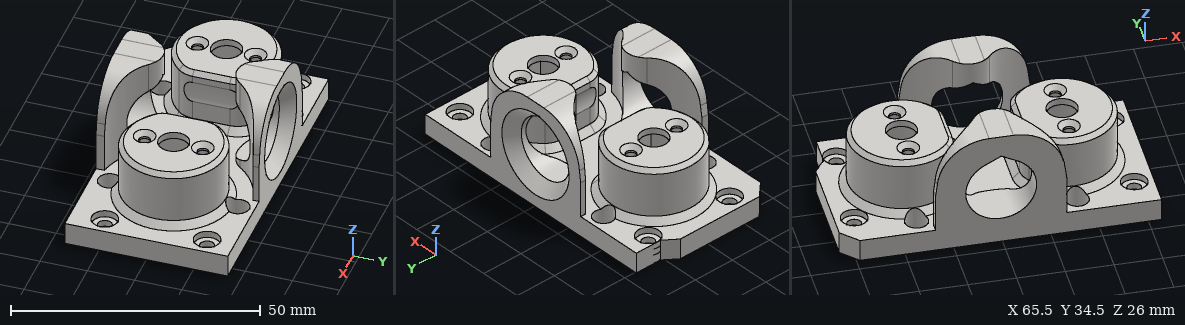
import cadquery as cq
import math

plate_height = 5.0
plate_left, plate_right = -32.5, 33.0
plate_front, plate_back = -17.5, 17.0
corner_chamfer = 3.5
notch_depth = 2.35
notch_slope_start = 7.3
notch_slope_end = 10.5

boss_offset = 16.5
boss_radius = 11.1
boss_flat = 9.6
boss_blend_radius = 5.0
boss_top = 17.9
boss_chamfer = 1.0
foot_flare = 1.5

cavity_roof = 1.5
cavity_radius = 9.5
cavity_flat = 7.4
center_bore_diameter = 6.4
screw_offset = 6.15
screw_diameter = 2.4
countersink_diameter = 4.5
relief_offset = 13.55
relief_diameter = 4.85

mount_points = [(-27.3, 11.25), (-28.4, -9.7), (28.95, 11.25), (28.95, -10.35)]
mount_diameter = 3.0
counterbore_diameter = 5.5
counterbore_depth = 1.5
underside_counterbore_depth = 2.0

arch_height = 26.0
arch_half_width = 13.5
arch_side_top = 13.4
arch_flat_half_width = 2.5
arch_corner_radius = 10.7
arch_arc_end = 16.2
arch_clearance_radius = 16.0
arch_tip_reach = 7.8

bore_radius = 7.3
bore_height = 13.05
bore_peak = 21.2
back_countersink_radius = 10.0


def make_plate():
    left_step = plate_left + notch_depth
    outline = [
        (plate_left + corner_chamfer, plate_front),
        (plate_right, plate_front),
        (plate_right, plate_back),
        (left_step, plate_back),
        (left_step, notch_slope_end),
        (plate_left, notch_slope_start),
        (plate_left, plate_front + corner_chamfer),
    ]
    return cq.Workplane("XY").polyline(outline).close().extrude(plate_height)


def boss_prism(growth, height):
    """Flattened cylinder about the Z axis with its flat on +X, grown outwards by growth."""
    radius = boss_radius + growth
    flat = boss_flat + growth
    blend = boss_blend_radius + growth
    blend_x = flat - blend
    blend_y = math.sqrt((radius - blend) ** 2 - blend_x ** 2)
    turn = math.atan2(blend_y, blend_x)
    tangent = (radius * math.cos(turn), radius * math.sin(turn))
    middle = (blend_x + blend * math.cos(turn / 2), blend_y + blend * math.sin(turn / 2))
    return (
        cq.Workplane("XY")
        .moveTo(flat, -blend_y)
        .lineTo(flat, blend_y)
        .threePointArc(middle, tangent)
        .threePointArc((-radius, 0), (tangent[0], -tangent[1]))
        .threePointArc((middle[0], -middle[1]), (flat, -blend_y))
        .close()
        .extrude(height)
    )


def make_boss():
    body = boss_prism(0, boss_top).faces(">Z").chamfer(boss_chamfer)
    foot = boss_prism(foot_flare, plate_height + foot_flare)
    foot = foot.faces(">Z").chamfer(foot_flare)
    return body.union(foot)


def make_boss_cuts():
    cavity_height = boss_top - cavity_roof
    flats = cq.Workplane("XY").rect(2 * cavity_flat, 2 * cavity_radius).extrude(cavity_height)
    cuts = cq.Workplane("XY").circle(cavity_radius).extrude(cavity_height).intersect(flats)
    cuts = cuts.union(cq.Workplane("XY").circle(center_bore_diameter / 2).extrude(boss_top))
    countersink_depth = (countersink_diameter - screw_diameter) / 2
    for side in (-1, 1):
        screw = (
            cq.Workplane("XY", origin=(0, side * screw_offset, boss_top))
            .circle(screw_diameter / 2).extrude(-boss_top)
        )
        cone = cq.Workplane(cq.Solid.makeCone(
            countersink_diameter / 2, screw_diameter / 2, countersink_depth,
            pnt=cq.Vector(0, side * screw_offset, boss_top), dir=cq.Vector(0, 0, -1)))
        relief = (
            cq.Workplane("XY", origin=(0, side * relief_offset, 0))
            .circle(relief_diameter / 2).extrude(boss_top)
        )
        cuts = cuts.union(screw).union(cone).union(relief)
    return cuts


def make_arch_wall():
    """Arch outline extruded over the full plate width."""
    center_z = arch_height - arch_corner_radius
    rise = arch_arc_end - center_z
    arc_end_x = arch_flat_half_width + math.sqrt(arch_corner_radius ** 2 - rise ** 2)
    diagonal = arch_corner_radius * math.sqrt(0.5)
    middle = (arch_flat_half_width + diagonal, center_z + diagonal)
    return (
        cq.Workplane("XZ", origin=(0, plate_back, 0))
        .moveTo(-arch_half_width, 0)
        .lineTo(arch_half_width, 0)
        .lineTo(arch_half_width, arch_side_top)
        .lineTo(arc_end_x, arch_arc_end)
        .threePointArc(middle, (arch_flat_half_width, arch_height))
        .lineTo(-arch_flat_half_width, arch_height)
        .threePointArc((-middle[0], middle[1]), (-arc_end_x, arch_arc_end))
        .lineTo(-arch_half_width, arch_side_top)
        .close()
        .extrude(plate_back - plate_front)
    )


def make_arch_footprint(side):
    """Plan shape of one arch: hollowed around both bosses, with a rounded tip between them."""
    reach, clear = arch_tip_reach, arch_clearance_radius
    tip_radius = (boss_offset ** 2 + reach ** 2 - clear ** 2) / (2 * (clear - reach))
    tip_center_y = reach + tip_radius
    share = clear / (clear + tip_radius)
    tangent_x = boss_offset * (1 - share)
    tangent_y = tip_center_y * share
    outer_y = plate_back if side > 0 else -plate_front
    edge_y = math.sqrt(clear ** 2 - (boss_offset - arch_half_width) ** 2)
    start = math.atan2(edge_y, arch_half_width - boss_offset)
    end = math.atan2(tangent_y, tangent_x - boss_offset)
    half = (start + end) / 2
    middle = (boss_offset + clear * math.cos(half), clear * math.sin(half))
    return (
        cq.Workplane("XY")
        .moveTo(-arch_half_width, side * outer_y)
        .lineTo(-arch_half_width, side * edge_y)
        .threePointArc((-middle[0], side * middle[1]), (-tangent_x, side * tangent_y))
        .threePointArc((0, side * reach), (tangent_x, side * tangent_y))
        .threePointArc((middle[0], side * middle[1]), (arch_half_width, side * edge_y))
        .lineTo(arch_half_width, side * outer_y)
        .close()
        .extrude(arch_height)
    )


def make_teardrop_bore():
    spread = math.acos(bore_radius / (bore_peak - bore_height))
    tangent_x = bore_radius * math.sin(spread)
    tangent_z = bore_height + bore_radius * math.cos(spread)
    return (
        cq.Workplane("XZ", origin=(0, plate_back, 0))
        .moveTo(tangent_x, tangent_z)
        .lineTo(0, bore_peak)
        .lineTo(-tangent_x, tangent_z)
        .threePointArc((0, bore_height - bore_radius), (tangent_x, tangent_z))
        .close()
        .extrude(plate_back - plate_front)
    )


def make_back_countersink():
    """45 degree cone opening the bore towards the back face."""
    depth = back_countersink_radius - bore_radius
    return cq.Workplane(cq.Solid.makeCone(
        back_countersink_radius, bore_radius, depth,
        pnt=cq.Vector(0, plate_back, bore_height), dir=cq.Vector(0, -1, 0)))


def make_mount_holes():
    def pins(diameter, bottom, top):
        plan = cq.Workplane("XY", origin=(0, 0, bottom)).pushPoints(mount_points)
        return plan.circle(diameter / 2).extrude(top - bottom)

    through = pins(mount_diameter, 0, plate_height)
    lower = pins(counterbore_diameter, 0, underside_counterbore_depth)
    upper = pins(counterbore_diameter, plate_height - counterbore_depth, plate_height)
    return through.union(lower).union(upper)


def place_at_both_bosses(shape):
    """Copy a shape to each boss, with the +X side of the shape facing the middle."""
    left = shape.translate((-boss_offset, 0, 0))
    return left.union(left.mirror("YZ"))


arch_plan = make_arch_footprint(-1).union(make_arch_footprint(1))
arches = make_arch_wall().intersect(arch_plan)

result = (
    make_plate()
    .union(place_at_both_bosses(make_boss()))
    .union(arches)
    .cut(place_at_both_bosses(make_boss_cuts()))
    .cut(make_mount_holes())
    .cut(make_teardrop_bore())
    .cut(make_back_countersink())
)